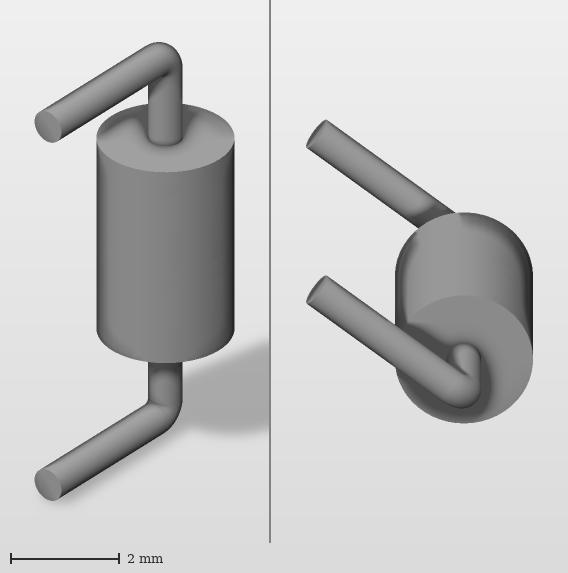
import cadquery as cq

overall_height = 8.26
barrel_diameter = 2.54
overall_depth = 4.71

half_length = 1.595
middle_band_width = 0.37
cap_width = 0.5

lead_diameter = 0.64
inner_bend_radius = 0.004

barrel_radius = barrel_diameter / 2
barrel_length = 2 * half_length + middle_band_width + cap_width
barrel_top = barrel_length / 2
barrel_bottom = -barrel_top
middle_band_bottom = barrel_bottom + half_length
upper_half_bottom = middle_band_bottom + middle_band_width
cap_bottom = upper_half_bottom + half_length

lead_radius = lead_diameter / 2
bend_radius = lead_radius + inner_bend_radius
lead_axis_height = overall_height / 2 - lead_radius
lead_reach = overall_depth - barrel_radius


def make_disc(bottom, length):
    """A plain section of the barrel."""
    return cq.Workplane("XY").workplane(offset=bottom).circle(barrel_radius).extrude(length)


def make_upper_lead():
    """A round lead rising from the barrel top and bent toward -Y."""
    bend_start = lead_axis_height - bend_radius
    path = (
        cq.Workplane("YZ")
        .moveTo(0, barrel_top)
        .lineTo(0, bend_start)
        .tangentArcPoint((-bend_radius, lead_axis_height), relative=False)
        .lineTo(-lead_reach, lead_axis_height)
    )
    return cq.Workplane("XY").workplane(offset=barrel_top).circle(lead_radius).sweep(path)


def make_lower_half():
    """The lowest disc with the lower lead, a mirror image of the upper one."""
    lower_lead = make_upper_lead().mirror("XY")
    return make_disc(barrel_bottom, half_length).union(lower_lead)


def make_end_cap():
    """The top disc with the upper lead."""
    return make_disc(cap_bottom, cap_width).union(make_upper_lead())


lower_half = make_lower_half()
middle_band = make_disc(middle_band_bottom, middle_band_width)
upper_half = make_disc(upper_half_bottom, half_length)
end_cap = make_end_cap()

result = cq.Compound.makeCompound([
    lower_half.val(),
    middle_band.val(),
    upper_half.val(),
    end_cap.val(),
])